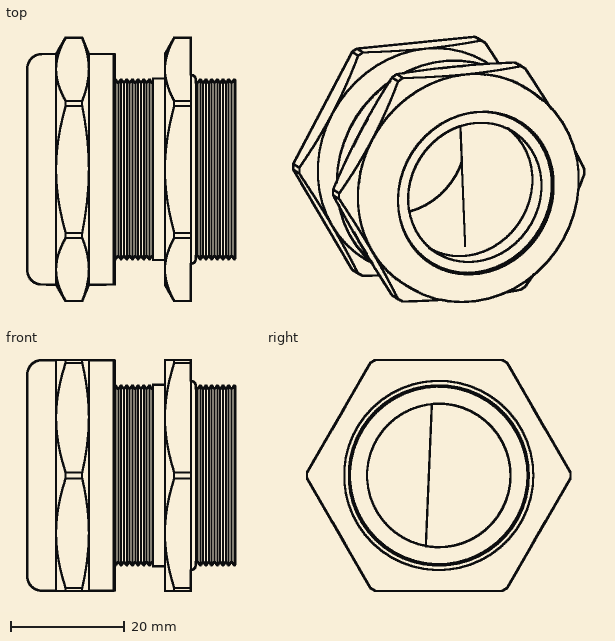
import cadquery as cq
import math


HEX_SIDES = 6
ACROSS_FLATS = 40.9
CORNER_RADIUS = 23.3
FLAT_RADIUS = ACROSS_FLATS / 2

BORE_RADIUS = 12.7

CREST_RADIUS = 15.95
ROOT_RADIUS = 15.3
FRONT_GROOVES = 6
FIRST_FRONT_CREST = 15.6
LAST_FRONT_CREST = 21.65
PITCH = (LAST_FRONT_CREST - FIRST_FRONT_CREST) / FRONT_GROOVES
FIRST_REAR_CREST = 30.65
REAR_CRESTS = 7

CAP_LENGTH = 15.55
CAP_RADIUS = 20.4
CAP_FRONT_ROUND = 2.6
CAP_REAR_BEVEL_LENGTH = 0.3
CAP_REAR_BEVEL_DEPTH = 0.1
CAP_HEX_START = 5.15
CAP_HEX_END = 10.9
CAP_HEX_FRONT_CHAMFER = 1.7
CAP_HEX_REAR_CHAMFER = 1.15
MOUTH_RADIUS = 14.83
MOUTH_FLOOR_RADIUS = 14.65
MOUTH_DEPTH = 0.5
SOCKET_START = 4.9
SOCKET_RADIUS = CREST_RADIUS

BODY_END = 36.85
COLLAR_START = 22.25
COLLAR_RADIUS = 16.1
NUT_START = 24.4
NUT_END = 28.95
NUT_FRONT_CHAMFER = 1.65
FLANGE_END = 29.85
FLANGE_RADIUS = 16.75
FLANGE_ROUND = FLANGE_END - NUT_END


def cylinder(start, end, radius):
    """Solid cylinder along X."""
    return cq.Workplane("YZ", origin=(start, 0, 0)).circle(radius).extrude(end - start)


def revolve_about_x(profile_points):
    """Turn a closed outline of (x, radius) points about the X axis."""
    return cq.Workplane("XY").polyline(profile_points).close().revolve(360, (0, 0, 0), (1, 0, 0))


def turned_hexagon(start, end, front_chamfer, rear_chamfer=0.0):
    """Hexagon with flats at +Z and -Z, its corners turned down and chamfered by cones."""
    across_corners = ACROSS_FLATS / math.cos(math.pi / HEX_SIDES)
    prism = cq.Workplane("YZ", origin=(start, 0, 0)).polygon(HEX_SIDES, across_corners).extrude(end - start)
    outline = [(start, 0), (start, FLAT_RADIUS), (start + front_chamfer, CORNER_RADIUS)]
    if rear_chamfer > 0:
        outline += [(end - rear_chamfer, CORNER_RADIUS), (end, FLAT_RADIUS)]
    else:
        outline += [(end, CORNER_RADIUS)]
    outline += [(end, 0)]
    return prism.intersect(revolve_about_x(outline))


def make_cap():
    """Domed hexagon cap with a bored front wall and a socket for the body."""
    shell = revolve_about_x(
        [
            (0, 0),
            (0, CAP_RADIUS),
            (CAP_LENGTH - CAP_REAR_BEVEL_LENGTH, CAP_RADIUS),
            (CAP_LENGTH, CAP_RADIUS - CAP_REAR_BEVEL_DEPTH),
            (CAP_LENGTH, 0),
        ]
    )
    shell = shell.faces("<X").edges().fillet(CAP_FRONT_ROUND)
    hexagon = turned_hexagon(CAP_HEX_START, CAP_HEX_END, CAP_HEX_FRONT_CHAMFER, CAP_HEX_REAR_CHAMFER)
    mouth = revolve_about_x(
        [(0, 0), (0, MOUTH_RADIUS), (MOUTH_DEPTH, MOUTH_FLOOR_RADIUS), (MOUTH_DEPTH, 0)]
    )
    bore = cylinder(0, CAP_LENGTH, BORE_RADIUS)
    socket = cylinder(SOCKET_START, CAP_LENGTH, SOCKET_RADIUS)
    return shell.union(hexagon).cut(mouth).cut(bore).cut(socket)


def front_thread():
    """Plain length inside the cap, then V grooves up to the collar."""
    outline = [(SOCKET_START, 0), (SOCKET_START, CREST_RADIUS)]
    for i in range(FRONT_GROOVES):
        crest = FIRST_FRONT_CREST + i * PITCH
        outline += [(crest, CREST_RADIUS), (crest + PITCH / 2, ROOT_RADIUS)]
    outline += [(LAST_FRONT_CREST, CREST_RADIUS), (LAST_FRONT_CREST + PITCH / 2, ROOT_RADIUS)]
    outline += [(COLLAR_START, ROOT_RADIUS), (COLLAR_START, 0)]
    return revolve_about_x(outline)


def rear_thread():
    """V-shaped rings from the flange to the rear end, the last one cut short by the end face."""
    outline = [(FLANGE_END, 0), (FLANGE_END, ROOT_RADIUS)]
    for i in range(REAR_CRESTS):
        crest = FIRST_REAR_CREST + i * PITCH
        outline += [(crest - PITCH / 2, ROOT_RADIUS), (crest, CREST_RADIUS)]
    last_root = FIRST_REAR_CREST + (REAR_CRESTS - 0.5) * PITCH
    outline += [(last_root, ROOT_RADIUS), (last_root, 0)]
    return revolve_about_x(outline).intersect(cylinder(FLANGE_END, BODY_END, FLANGE_RADIUS))


def make_body():
    """Threaded sleeve with a collar, a hexagon and a rounded sealing flange."""
    collar = cylinder(COLLAR_START, NUT_START, COLLAR_RADIUS)
    hexagon = turned_hexagon(NUT_START, NUT_END, NUT_FRONT_CHAMFER)
    flange = cylinder(NUT_START, FLANGE_END, FLANGE_RADIUS).faces(">X").edges().fillet(FLANGE_ROUND)
    bore = cylinder(SOCKET_START, BODY_END, BORE_RADIUS)
    return front_thread().union(collar).union(hexagon).union(flange).union(rear_thread()).cut(bore)


cap = make_cap().solids()
body = make_body().solids()

result = cq.Compound.makeCompound([cap.val(), body.val()])